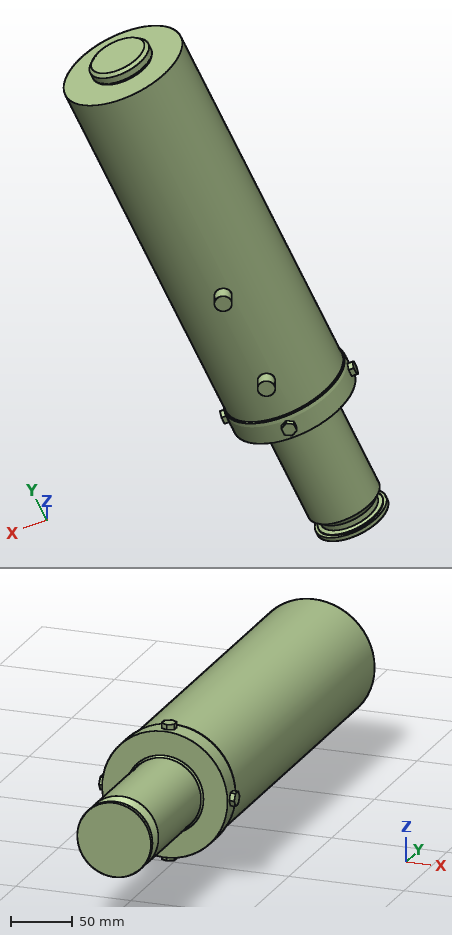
import cadquery as cq
import math

TOTAL_LENGTH = 478.0

ROD_DIAMETER = 64.0
NECK_DIAMETER = 51.0
TIP_STEP_DIAMETER = 58.5
TIP_FLANGE_BACK = 4.0
TIP_STEP_BACK = 5.0
NECK_FRONT = 6.0
ROD_SHOULDER = 17.5

COLLAR_FRONT = 118.5
COLLAR_BACK = 140.0
COLLAR_DIAMETER = 109.0
COLLAR_TAPER_LENGTH = 4.5
COLLAR_TAPER_DEPTH = 0.5
COLLAR_CHAMFER = 1.0
LIP_DIAMETER = 67.5
LIP_LENGTH = 1.5

BODY_DIAMETER = 105.5
BOSS_DIAMETER = 53.0
BOSS_LENGTH = 10.5
BOSS_CHAMFER = 3.0
BOSS_GROOVE_WIDTH = 1.5
BOSS_GROOVE_DEPTH = 1.0

SCREW_COUNT = 4
SCREW_POSITION = 129.0
SCREW_REACH = 59.0
SCREW_ACROSS_FLATS = 11.0
SCREW_ROOT_OVERLAP = 5.0

PORT_DIAMETER = 14.5
PORT_POSITIONS = (175.5, 263.5)
PORT_REACH = 65.0


def make_turned_body():
    """Revolve the half-section, listed from the tip to the rear boss."""
    rod_radius = ROD_DIAMETER / 2
    neck_radius = NECK_DIAMETER / 2
    step_radius = TIP_STEP_DIAMETER / 2
    collar_radius = COLLAR_DIAMETER / 2
    taper_radius = collar_radius - COLLAR_TAPER_DEPTH
    body_radius = BODY_DIAMETER / 2
    boss_radius = BOSS_DIAMETER / 2
    groove_radius = boss_radius - BOSS_GROOVE_DEPTH
    neck_back = ROD_SHOULDER - (rod_radius - neck_radius)
    body_back = TOTAL_LENGTH - BOSS_LENGTH

    tip = [
        (0, 0),
        (rod_radius, 0),
        (rod_radius, TIP_FLANGE_BACK),
        (step_radius, TIP_FLANGE_BACK),
        (step_radius, TIP_STEP_BACK),
        (neck_radius, NECK_FRONT),
        (neck_radius, neck_back),
        (rod_radius, ROD_SHOULDER),
    ]
    collar = [
        (rod_radius, COLLAR_FRONT - LIP_LENGTH),
        (LIP_DIAMETER / 2, COLLAR_FRONT),
        (collar_radius, COLLAR_FRONT),
        (collar_radius, COLLAR_BACK - COLLAR_TAPER_LENGTH),
        (taper_radius, COLLAR_BACK - COLLAR_CHAMFER),
        (taper_radius - COLLAR_CHAMFER, COLLAR_BACK),
    ]
    rear = [
        (body_radius, COLLAR_BACK),
        (body_radius, body_back),
        (groove_radius, body_back),
        (groove_radius, body_back + BOSS_GROOVE_WIDTH),
        (boss_radius, body_back + BOSS_GROOVE_WIDTH),
        (boss_radius, TOTAL_LENGTH - BOSS_CHAMFER),
        (boss_radius - BOSS_CHAMFER, TOTAL_LENGTH),
        (0, TOTAL_LENGTH),
    ]
    section = cq.Workplane("XY").polyline(tip + collar + rear).close()
    return section.revolve(360, (0, 0), (0, 1))


def make_screw(angle):
    """Hexagonal head pointing radially, with two corners along Y."""
    across_corners = SCREW_ACROSS_FLATS / math.cos(math.pi / 6)
    root = BODY_DIAMETER / 2 - SCREW_ROOT_OVERLAP
    screw = (
        cq.Workplane("XY", origin=(0, SCREW_POSITION, root))
        .transformed(rotate=(0, 0, 90))
        .polygon(6, across_corners)
        .extrude(SCREW_REACH - root)
    )
    return screw.rotate((0, 0, 0), (0, 1, 0), angle)


def make_port(position):
    """Round stub pointing down, rooted inside the solid body."""
    return (
        cq.Workplane("XY", origin=(0, position, -PORT_REACH))
        .circle(PORT_DIAMETER / 2)
        .extrude(PORT_REACH - ROD_DIAMETER / 2)
    )


result = make_turned_body()
for index in range(SCREW_COUNT):
    result = result.union(make_screw(index * 360 / SCREW_COUNT))
for port_position in PORT_POSITIONS:
    result = result.union(make_port(port_position))